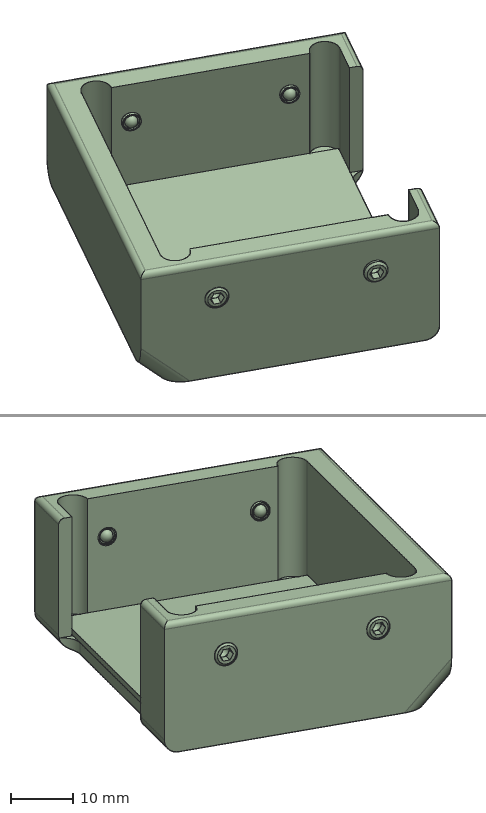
import cadquery as cq
import math

HOUSING_WIDTH = 54.2
HOUSING_DEPTH = 50.0
HOUSING_HEIGHT = 23.0
TOP_EDGE_RADIUS = 1.0
REAR_BOTTOM_RADIUS = 2.5
FRONT_CHAMFER = 4.0
CHAMFER_SIDE_RADIUS = 3.0

SIDE_WALL = 4.5
FRONT_WALL = 4.5
REAR_WALL = 2.3
FLOOR_THICKNESS = 2.0
RELIEF_RADIUS = 2.5
CAVITY_WIDTH = HOUSING_WIDTH - 2 * SIDE_WALL
CAVITY_FRONT = -HOUSING_DEPTH / 2 + FRONT_WALL
CAVITY_REAR = HOUSING_DEPTH / 2 - REAR_WALL
CAVITY_DEPTH = CAVITY_REAR - CAVITY_FRONT

PLATE_THICKNESS = 1.0
PLATE_CLEARANCE = 0.2

NOTCH_WIDTH = 34.2
NOTCH_FLOOR_EDGE = CAVITY_REAR - PLATE_CLEARANCE
NOTCH_CORNER_RADIUS = 3.0

PLUNGER_LENGTH = 6.0
BODY_RADIUS = 2.0
BODY_LENGTH = 3.4
BODY_CHAMFER = 0.4
STEM_RADIUS = 1.6
BALL_RADIUS = 1.1
BALL_PROTRUSION = 0.7
BALL_MOUTH_RADIUS = 1.4
BALL_MOUTH_DEPTH = 0.4
STEM_END = PLUNGER_LENGTH - BALL_PROTRUSION
SOCKET_ACROSS_FLATS = 2.0
SOCKET_DEPTH = 1.5

PLUNGER_HEIGHT = 15.75
PLUNGER_FRONT_Y = -12.25
PLUNGER_REAR_Y = 14.25
SEATED_PROTRUSION = 0.2
RAISED_PROTRUSION = 0.8
BODY_BORE_DEPTH = BODY_LENGTH - SEATED_PROTRUSION

PLUNGER_PLACES = [
    (-1, PLUNGER_FRONT_Y, SEATED_PROTRUSION),
    (-1, PLUNGER_REAR_Y, SEATED_PROTRUSION),
    (1, PLUNGER_FRONT_Y, SEATED_PROTRUSION),
    (1, PLUNGER_REAR_Y, RAISED_PROTRUSION),
]


def box_from(x_min, y_min, z_min, width, depth, height):
    """Box given by its lowest corner and its sizes."""
    return cq.Workplane("XY").box(width, depth, height, centered=False).translate((x_min, y_min, z_min))


def point_inward(shape, side, y, protrusion):
    """Move a shape built along +Z from its outer end so that it runs inward through a side wall."""
    turned = shape.rotate((0, 0, 0), (0, 1, 0), -90 * side)
    return turned.translate((side * (HOUSING_WIDTH / 2 + protrusion), y, PLUNGER_HEIGHT))


def make_block():
    """Outer shape of the housing with its rounded and chamfered edges."""
    block = cq.Workplane("XY").box(HOUSING_WIDTH, HOUSING_DEPTH, HOUSING_HEIGHT, centered=(True, True, False))
    block = block.faces("<Z").edges("<Y").chamfer(FRONT_CHAMFER)
    chamfer_middle = (-HOUSING_DEPTH + FRONT_CHAMFER) / 2
    for side in (-1, 1):
        end = (side * HOUSING_WIDTH / 2, chamfer_middle, FRONT_CHAMFER / 2)
        block = block.edges(cq.selectors.NearestToPointSelector(end)).fillet(CHAMFER_SIDE_RADIUS)
    block = block.faces("<Z").edges(">Y").fillet(REAR_BOTTOM_RADIUS)
    return block.faces(">Z").edges().fillet(TOP_EDGE_RADIUS)


def make_cavity():
    """Rectangular cavity with round reliefs reaching into the side walls at its corners."""
    height = HOUSING_HEIGHT - FLOOR_THICKNESS
    cavity = box_from(-CAVITY_WIDTH / 2, CAVITY_FRONT, FLOOR_THICKNESS, CAVITY_WIDTH, CAVITY_DEPTH, height)
    relief_centres = [
        (side * CAVITY_WIDTH / 2, y)
        for side in (-1, 1)
        for y in (CAVITY_FRONT + RELIEF_RADIUS, CAVITY_REAR - RELIEF_RADIUS)
    ]
    reliefs = (
        cq.Workplane("XY")
        .workplane(offset=FLOOR_THICKNESS)
        .pushPoints(relief_centres)
        .circle(RELIEF_RADIUS)
        .extrude(height)
    )
    return cavity.union(reliefs)


def make_notch():
    """Rear opening: square-sided above the floor, with rounded inner corners in the floor."""
    upper_height = HOUSING_HEIGHT - FLOOR_THICKNESS
    upper = box_from(-NOTCH_WIDTH / 2, CAVITY_REAR, FLOOR_THICKNESS, NOTCH_WIDTH, REAR_WALL, upper_height)
    lower_depth = HOUSING_DEPTH / 2 - NOTCH_FLOOR_EDGE + NOTCH_CORNER_RADIUS
    lower = box_from(-NOTCH_WIDTH / 2, NOTCH_FLOOR_EDGE, 0, NOTCH_WIDTH, lower_depth, FLOOR_THICKNESS)
    lower = lower.faces("<Y").edges("|Z").fillet(NOTCH_CORNER_RADIUS)
    return upper.union(lower)


def make_plunger_bore():
    """Stepped bore: wide for the plunger body, narrow for its stem."""
    body_bore = cq.Workplane("XY").circle(BODY_RADIUS).extrude(BODY_BORE_DEPTH)
    stem_bore = cq.Workplane("XY").circle(STEM_RADIUS).extrude(SIDE_WALL)
    return body_bore.union(stem_bore)


def make_housing():
    housing = make_block().cut(make_cavity()).cut(make_notch())
    for side, y, _ in PLUNGER_PLACES:
        housing = housing.cut(point_inward(make_plunger_bore(), side, y, 0))
    return housing


def make_plate():
    return box_from(
        -CAVITY_WIDTH / 2,
        CAVITY_FRONT,
        FLOOR_THICKNESS,
        CAVITY_WIDTH - PLATE_CLEARANCE,
        CAVITY_DEPTH - PLATE_CLEARANCE,
        PLATE_THICKNESS,
    )


def make_plunger():
    """Ball plunger along +Z, with its socket end at Z = 0 and its ball at the far end."""
    profile = [
        (0, 0),
        (BODY_RADIUS - BODY_CHAMFER, 0),
        (BODY_RADIUS, BODY_CHAMFER),
        (BODY_RADIUS, BODY_LENGTH),
        (STEM_RADIUS, BODY_LENGTH),
        (STEM_RADIUS, STEM_END),
        (BALL_MOUTH_RADIUS, STEM_END),
        (BALL_MOUTH_RADIUS, STEM_END - BALL_MOUTH_DEPTH),
        (0, STEM_END - BALL_MOUTH_DEPTH),
    ]
    plunger = cq.Workplane("XZ").polyline(profile).close().revolve(360, (0, 0), (0, 1))
    ball = cq.Workplane("XY").sphere(BALL_RADIUS).translate((0, 0, PLUNGER_LENGTH - BALL_RADIUS))

    across_corners = SOCKET_ACROSS_FLATS / math.cos(math.pi / 6)
    socket = cq.Workplane("XY").polygon(6, across_corners).extrude(SOCKET_DEPTH)
    socket = socket.rotate((0, 0, 0), (0, 0, 1), 90)
    socket_bottom = cq.Workplane("XY").sphere(SOCKET_ACROSS_FLATS / 2).translate((0, 0, SOCKET_DEPTH))
    return plunger.union(ball).cut(socket).cut(socket_bottom)


housing = make_housing()
plate = make_plate()
plungers = [point_inward(make_plunger(), side, y, protrusion) for side, y, protrusion in PLUNGER_PLACES]

result = cq.Compound.makeCompound([housing.val(), plate.val(), *[plunger.val() for plunger in plungers]])